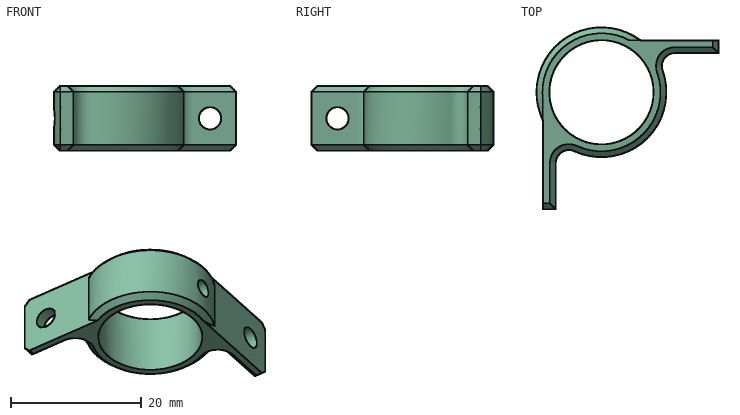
import cadquery as cq
import math

ring_diameter = 20.0
bore_diameter = 16.0
height = 10.0
tab_thickness = 2.0
fillet_radius = 2.0
chamfer = 0.92
tab_hole_diameter = 3.4
tab_hole_to_end = 4.0
side_hole_diameter = 2.8
overall_length = 28

ring_radius = ring_diameter / 2
bore_radius = bore_diameter / 2
tab_reach = overall_length - ring_radius
tab_hole_place = tab_reach - tab_hole_to_end
left_tab_face = 9.0
back_tab_face = bore_radius


def make_tab(face_offset):
    """Tab along +X with its flat outer face at Y = face_offset, blended into the ring."""
    inner_face = face_offset - tab_thickness
    fillet_y = inner_face - fillet_radius
    centre_distance = ring_radius + fillet_radius
    fillet_x = math.sqrt(centre_distance**2 - fillet_y**2)
    ring_angle = math.atan2(fillet_y, fillet_x)
    ring_touch = (ring_radius * math.cos(ring_angle), ring_radius * math.sin(ring_angle))
    mid_angle = (math.pi / 2 + ring_angle + math.pi) / 2
    arc_middle = (
        fillet_x + fillet_radius * math.cos(mid_angle),
        fillet_y + fillet_radius * math.sin(mid_angle),
    )
    tab = (
        cq.Workplane("XY", origin=(0, 0, -height / 2))
        .lineTo(*ring_touch)
        .threePointArc(arc_middle, (fillet_x, inner_face))
        .lineTo(tab_reach, inner_face)
        .lineTo(tab_reach, face_offset)
        .lineTo(0, face_offset)
        .close()
        .extrude(height)
    )
    blend_edges = tab.faces("|Z").edges("%CIRCLE")
    inner_edges = tab.faces("|Z").edges(cq.selectors.BoxSelector(
        (fillet_x, inner_face - chamfer, -height),
        (tab_reach + chamfer, inner_face + chamfer, height),
    )).edges("|X")
    end_edges = tab.faces(">X").edges("|Y")
    tab = blend_edges.add(inner_edges).add(end_edges).chamfer(chamfer)

    hole = (
        cq.Workplane("XZ", origin=(tab_hole_place, face_offset, 0))
        .circle(tab_hole_diameter / 2)
        .extrude(tab_thickness)
    )
    return tab.cut(hole)


ring = cq.Workplane("XY", origin=(0, 0, -height / 2)).circle(ring_radius).extrude(height)
ring = ring.faces("|Z").edges().chamfer(chamfer)

back_tab = make_tab(back_tab_face)
left_tab = make_tab(left_tab_face).rotate((0, 0, 0), (0, 0, 1), -90).mirror("YZ")

bore = cq.Workplane("XY", origin=(0, 0, -height / 2)).circle(bore_radius).extrude(height)
side_hole = cq.Workplane("YZ").circle(side_hole_diameter / 2).extrude(-ring_diameter)

result = ring.union(back_tab).union(left_tab).cut(bore).cut(side_hole)